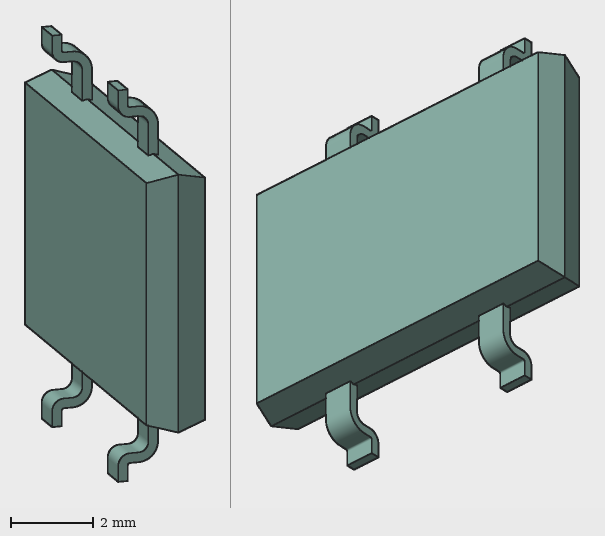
import cadquery as cq
import math

body_length = 9.6
body_height = 6.525
body_thickness = 1.5
draft_angle = 15.0

lead_pitch = 5.0
lead_width = 0.8
lead_thickness = 0.25
lead_span = 9.9
foot_length = 0.45
standoff = 0.15
upper_bend_inner_radius = 0.25
foot_bend_inner_radius = 0.05
lead_embed_depth = 1.0

half_thickness = body_thickness / 2
half_lead = lead_thickness / 2
tip_z = lead_span / 2
step_top_z = tip_z - foot_length
step_bottom_z = step_top_z - lead_thickness
foot_outer_y = -(half_thickness + standoff)
foot_inner_y = foot_outer_y + lead_thickness
embedded_end_z = body_height / 2 - lead_embed_depth


def make_body():
    """Two drafted halves mirrored about the parting plane."""
    front_half = (
        cq.Workplane("XZ")
        .rect(body_length, body_height)
        .extrude(half_thickness, taper=draft_angle)
    )
    return front_half.union(front_half.mirror("XZ"))


def make_lead(center_x):
    """Upper lead: rises from the body, steps toward -Y, then rises again as a foot."""
    upper_inner = upper_bend_inner_radius
    upper_outer = upper_inner + lead_thickness
    foot_inner = foot_bend_inner_radius
    foot_outer = foot_inner + lead_thickness

    upper_center_y = half_lead - upper_outer
    upper_center_z = step_top_z - upper_outer
    foot_center_y = foot_inner_y + foot_inner
    foot_center_z = step_top_z + foot_inner

    diagonal = math.sqrt(0.5)

    def upper_bend_middle(radius):
        return (upper_center_y + radius * diagonal, upper_center_z + radius * diagonal)

    def foot_bend_middle(radius):
        return (foot_center_y - radius * diagonal, foot_center_z - radius * diagonal)

    return (
        cq.Workplane("YZ", origin=(center_x, 0, 0))
        .moveTo(half_lead, embedded_end_z)
        .lineTo(half_lead, upper_center_z)
        .threePointArc(upper_bend_middle(upper_outer), (upper_center_y, step_top_z))
        .lineTo(foot_center_y, step_top_z)
        .threePointArc(foot_bend_middle(foot_inner), (foot_inner_y, foot_center_z))
        .lineTo(foot_inner_y, tip_z)
        .lineTo(foot_outer_y, tip_z)
        .lineTo(foot_outer_y, foot_center_z)
        .threePointArc(foot_bend_middle(foot_outer), (foot_center_y, step_bottom_z))
        .lineTo(upper_center_y, step_bottom_z)
        .threePointArc(upper_bend_middle(upper_inner), (-half_lead, upper_center_z))
        .lineTo(-half_lead, embedded_end_z)
        .close()
        .extrude(lead_width / 2, both=True)
    )


result = make_body()
for side in (-1, 1):
    upper_lead = make_lead(side * lead_pitch / 2)
    lower_lead = upper_lead.mirror("XY")
    result = result.union(upper_lead).union(lower_lead)